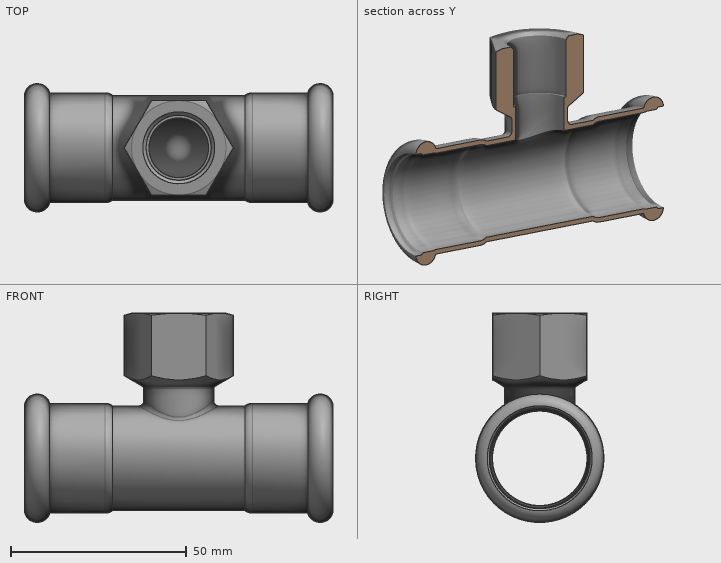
import cadquery as cq
import math

length = 88.2
end_x = length / 2
pipe_radius = 30.0 / 2
pipe_bore_radius = 27.0 / 2
wall = pipe_radius - pipe_bore_radius

socket_radius = 31.4 / 2
socket_bore_radius = socket_radius - wall
socket_depth = 23.0
pipe_start = 25.1
bead_outer_radius = 36.7 / 2
bead_tube_radius = 3.7
mouth_radius = 30.0 / 2
mouth_depth = 2.0
lead_in_radius = 28.8 / 2
lead_in_end = 5.6
socket_bore_start = 7.7

top_z = 41.45
neck_radius = 20.0 / 2
neck_bore_radius = 17.0 / 2
hex_flats = 27.0
hex_corner_radius = hex_flats / 2 / math.cos(math.pi / 6)
hex_cone_low_z = 20.4
top_chamfer_angle = math.radians(16)
bottom_cone_angle = math.radians(30)
thread_radius = 18.6 / 2
thread_mouth_radius = 20.55 / 2
thread_bottom_z = 23.55
saddle_fillet = 1.3
neck_fillet = 0.7


def step_arc_middle(start, end, start_radius, end_radius):
    """Middle point of an arc that leaves the larger cylinder tangentially."""
    run = end - start
    drop = start_radius - end_radius
    radius = (run ** 2 + drop ** 2) / (2 * drop)
    half_sweep = math.asin(run / radius) / 2
    return (
        start + radius * math.sin(half_sweep),
        start_radius - radius * (1 - math.cos(half_sweep)),
    )


def revolve_about_x(half_profile):
    """Spin a closed half profile about X, running from an open end to the middle, and mirror it."""
    half = half_profile.close().revolve(360, (0, 0, 0), (1, 0, 0)).translate((-end_x, 0, 0))
    return half.union(half.mirror("YZ"))


def make_run_body():
    bead_center_radius = bead_outer_radius - bead_tube_radius
    bead_crest_x = math.sqrt(bead_tube_radius ** 2 - (mouth_radius - bead_center_radius) ** 2)
    bead_end = bead_crest_x + math.sqrt(
        bead_tube_radius ** 2 - (socket_radius - bead_center_radius) ** 2
    )
    profile = (
        cq.Workplane("XZ")
        .lineTo(0, mouth_radius)
        .threePointArc((bead_crest_x, bead_outer_radius), (bead_end, socket_radius))
        .lineTo(socket_depth, socket_radius)
        .threePointArc(
            step_arc_middle(socket_depth, pipe_start, socket_radius, pipe_radius),
            (pipe_start, pipe_radius),
        )
        .lineTo(end_x, pipe_radius)
        .lineTo(end_x, 0)
    )
    return revolve_about_x(profile)


def make_run_bore():
    lead_in_start = mouth_depth + mouth_radius - lead_in_radius
    blend_x = (lead_in_end + socket_bore_start) / 2
    blend_radius = (lead_in_radius + socket_bore_radius) / 2
    first_arc_x, first_arc_radius = step_arc_middle(lead_in_end, blend_x, lead_in_radius, blend_radius)
    second_arc_middle = (2 * blend_x - first_arc_x, 2 * blend_radius - first_arc_radius)
    profile = (
        cq.Workplane("XZ")
        .lineTo(0, mouth_radius)
        .lineTo(mouth_depth, mouth_radius)
        .lineTo(lead_in_start, lead_in_radius)
        .lineTo(lead_in_end, lead_in_radius)
        .threePointArc((first_arc_x, first_arc_radius), (blend_x, blend_radius))
        .threePointArc(second_arc_middle, (socket_bore_start, socket_bore_radius))
        .lineTo(socket_depth, socket_bore_radius)
        .threePointArc(
            step_arc_middle(socket_depth, pipe_start, socket_bore_radius, pipe_bore_radius),
            (pipe_start, pipe_bore_radius),
        )
        .lineTo(end_x, pipe_bore_radius)
        .lineTo(end_x, 0)
    )
    return revolve_about_x(profile)


def make_hexagon():
    """Hexagon with a shallow conical top chamfer and a conical underside."""
    prism = (
        cq.Workplane("XY", origin=(0, 0, hex_cone_low_z))
        .polygon(6, 2 * hex_corner_radius)
        .extrude(top_z - hex_cone_low_z)
    )
    chamfer_drop = (hex_corner_radius - hex_flats / 2) * math.tan(top_chamfer_angle)
    cone_rise = (hex_corner_radius - neck_radius) * math.tan(bottom_cone_angle)
    envelope = (
        cq.Workplane("XZ")
        .moveTo(0, hex_cone_low_z)
        .lineTo(neck_radius, hex_cone_low_z)
        .lineTo(hex_corner_radius, hex_cone_low_z + cone_rise)
        .lineTo(hex_corner_radius, top_z - chamfer_drop)
        .lineTo(hex_flats / 2, top_z)
        .lineTo(0, top_z)
        .close()
        .revolve(360, (0, 0, 0), (0, 1, 0))
    )
    return prism.intersect(envelope)


def make_branch_bore():
    mouth_chamfer = thread_mouth_radius - thread_radius
    return (
        cq.Workplane("XZ")
        .lineTo(neck_bore_radius, 0)
        .lineTo(neck_bore_radius, thread_bottom_z)
        .lineTo(thread_radius, thread_bottom_z)
        .lineTo(thread_radius, top_z - mouth_chamfer)
        .lineTo(thread_mouth_radius, top_z)
        .lineTo(0, top_z)
        .close()
        .revolve(360, (0, 0, 0), (0, 1, 0))
    )


neck = cq.Workplane("XY").circle(neck_radius).extrude(hex_cone_low_z)
body = make_run_body().union(neck)
saddle_box = cq.selectors.BoxSelector(
    (-neck_radius, -neck_radius, pipe_radius / 2),
    (neck_radius, neck_radius, pipe_radius + saddle_fillet),
    boundingbox=False,
)
saddle_edges = body.edges(saddle_box).edges("not %LINE")
body = saddle_edges.fillet(saddle_fillet)

body = body.union(make_hexagon())
neck_corner = cq.selectors.BoxSelector(
    (-hex_corner_radius, -hex_corner_radius, hex_cone_low_z - neck_fillet),
    (hex_corner_radius, hex_corner_radius, hex_cone_low_z + neck_fillet),
    boundingbox=True,
)
body = body.edges(neck_corner).edges("%CIRCLE").fillet(neck_fillet)

result = body.cut(make_run_bore()).cut(make_branch_bore())